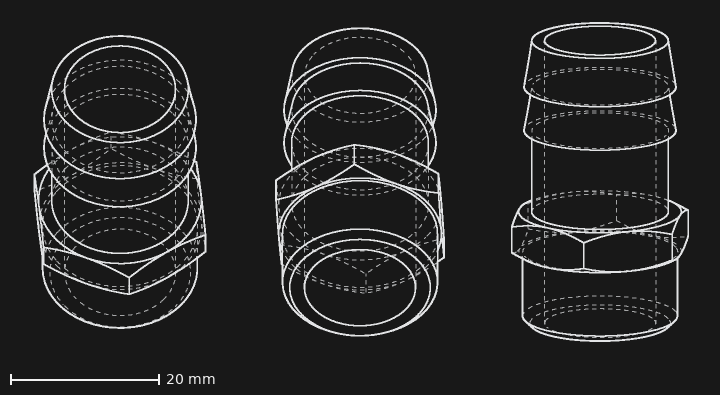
import cadquery as cq
import math

total_height = 39.5
bore_diameter = 15.0

thread_diameter = 20.97
thread_length = 10.0
thread_chamfer = 1.0

hex_across_flats = 22.0
hex_thickness = 5.55
hex_chamfer_angle = 30.0

tail_diameter = 18.5
barb_diameter = 20.58
upper_barb_height = 6.48
lower_barb_height = 6.1

hex_top = thread_length + hex_thickness
upper_barb_base = total_height - upper_barb_height
lower_barb_base = upper_barb_base - lower_barb_height


def make_thread():
    cylinder = cq.Workplane("XY").circle(thread_diameter / 2).extrude(thread_length)
    return cylinder.faces("<Z").chamfer(thread_chamfer)


def make_hexagon():
    flat_radius = hex_across_flats / 2
    corner_radius = flat_radius / math.cos(math.radians(30))
    corner_drop = (corner_radius - flat_radius) * math.tan(math.radians(hex_chamfer_angle))
    prism = (
        cq.Workplane("XY", origin=(0, 0, thread_length))
        .polygon(6, 2 * corner_radius)
        .extrude(hex_thickness)
    )
    envelope = (
        cq.Workplane("XZ")
        .moveTo(0, thread_length)
        .lineTo(flat_radius, thread_length)
        .lineTo(corner_radius, thread_length + corner_drop)
        .lineTo(corner_radius, hex_top - corner_drop)
        .lineTo(flat_radius, hex_top)
        .lineTo(0, hex_top)
        .close()
        .revolve(360, (0, 0, 0), (0, 1, 0))
    )
    return prism.intersect(envelope)


def make_hose_tail():
    tail_radius = tail_diameter / 2
    barb_radius = barb_diameter / 2
    return (
        cq.Workplane("XZ")
        .moveTo(0, hex_top)
        .lineTo(tail_radius, hex_top)
        .lineTo(tail_radius, lower_barb_base)
        .lineTo(barb_radius, lower_barb_base)
        .lineTo(tail_radius, upper_barb_base)
        .lineTo(barb_radius, upper_barb_base)
        .lineTo(tail_radius, total_height)
        .lineTo(0, total_height)
        .close()
        .revolve(360, (0, 0, 0), (0, 1, 0))
    )


bore = cq.Workplane("XY").circle(bore_diameter / 2).extrude(total_height)

result = make_thread().union(make_hexagon()).union(make_hose_tail()).cut(bore)